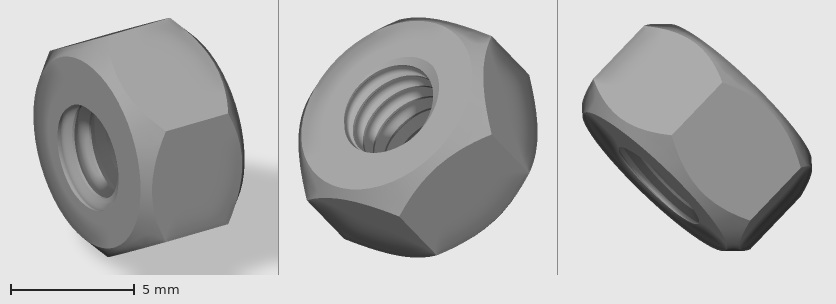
import cadquery as cq
import math

CORNER_DIAMETER = 10.0
THICKNESS = 5.0
FACE_DIAMETER = 8.0
BORE_DIAMETER = 4.0
ROOT_DIAMETER = 4.9
PITCH = 0.8
CREST_WIDTH = 0.11
ROOT_WIDTH = 0.2
GROOVE_ANGLE = -72.0
BORE_OVERLAP = 0.1

corner_radius = CORNER_DIAMETER / 2
face_radius = FACE_DIAMETER / 2
bore_radius = BORE_DIAMETER / 2
root_radius = ROOT_DIAMETER / 2
half_thickness = THICKNESS / 2


def chamfered_hexagon():
    """Hexagonal prism along Z with its corners turned off conically at both ends."""
    prism = (
        cq.Workplane("XY")
        .polygon(6, CORNER_DIAMETER)
        .extrude(half_thickness, both=True)
        .rotate((0, 0, 0), (0, 0, 1), 90)
    )
    chamfer = corner_radius - face_radius
    margin = chamfer / 2
    envelope_radius = corner_radius + margin
    cone_end = half_thickness - chamfer - margin
    envelope = (
        cq.Workplane("YZ")
        .moveTo(0, -half_thickness)
        .lineTo(face_radius, -half_thickness)
        .lineTo(envelope_radius, -cone_end)
        .lineTo(envelope_radius, cone_end)
        .lineTo(face_radius, half_thickness)
        .lineTo(0, half_thickness)
        .close()
        .revolve(360, (0, 0, 0), (0, 1, 0))
    )
    return prism.intersect(envelope)


def thread_groove():
    """Right-hand helical cutter that runs one pitch past both end faces."""
    start = -half_thickness - PITCH
    length = math.ceil(THICKNESS / PITCH + 2) * PITCH
    inner_radius = bore_radius - BORE_OVERLAP
    mouth = (PITCH - CREST_WIDTH) / 2
    bottom = ROOT_WIDTH / 2
    section = [
        (inner_radius, -mouth),
        (bore_radius, -mouth),
        (root_radius, -bottom),
        (root_radius, bottom),
        (bore_radius, mouth),
        (inner_radius, mouth),
    ]
    helices = [
        cq.Wire.makeHelix(PITCH, length, radius, cq.Vector(0, 0, start + offset))
        for radius, offset in section
    ]
    faces = [
        cq.Face.makeRuledSurface(helix, helices[index - 1])
        for index, helix in enumerate(helices)
    ]
    for cap_height in (start, start + length):
        corners = [cq.Vector(radius, 0, cap_height + offset) for radius, offset in section]
        faces.append(cq.Face.makeFromWires(cq.Wire.makePolygon(corners, close=True)))
    groove = cq.Solid.makeSolid(cq.Shell.makeShell(faces))
    groove = cq.Workplane(groove.fix())
    angle_at_face = math.fmod(360 * (half_thickness - start) / PITCH, 360)
    return groove.rotate((0, 0, 0), (0, 0, 1), GROOVE_ANGLE - angle_at_face)


bore = cq.Workplane("XY").circle(bore_radius).extrude(half_thickness, both=True)
nut = chamfered_hexagon().cut(bore).cut(thread_groove())

result = cq.Workplane(nut.rotate((0, 0, 0), (1, 0, 0), 90).solids().val())